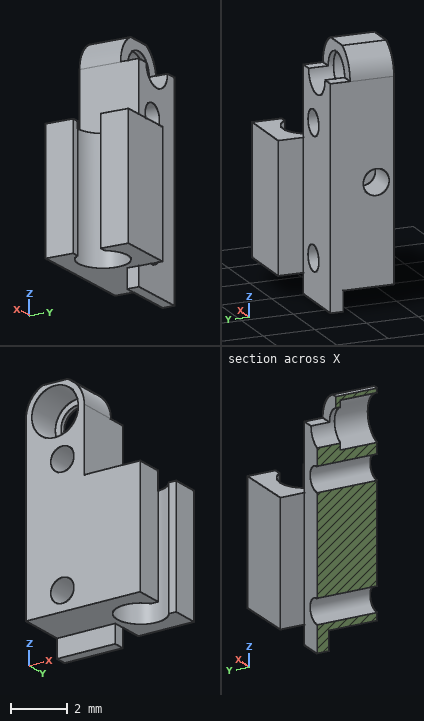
import cadquery as cq

column_width = 2.52
column_depth = 2.46
total_height = 9.73
base_z = 0.79

eye_x = column_width / 2
eye_z = 8.59
eye_radius = column_width / 2
eye_depth = 1.7
eye_bore_diameter = 1.52
counterbore_diameter = 2.0
shoulder_thickness = 0.2
counterbore_depth = eye_depth - shoulder_thickness

total_width = 4.93
block_depth = 3.43
block_top_z = 5.86
clamp_x = 3.79
clamp_y = block_depth / 2
clamp_diameter = 2.0
clamp_slot_width = 1.14

tab_thickness = 0.5

small_hole_diameter = 1.0
screw_hole_x = 1.58
screw_hole_heights = (1.62, 6.68)
side_hole_y = 0.69
side_hole_z = 4.7
side_hole_depth = column_width / 2


def box(x_range, y_range, z_range):
    """Box spanning the given (start, end) range along each axis."""
    (x0, x1), (y0, y1), (z0, z1) = x_range, y_range, z_range
    return cq.Workplane("XY").box(x1 - x0, y1 - y0, z1 - z0, centered=False).translate((x0, y0, z0))


def cylinder_along_y(x, z, diameter, depth):
    """Cylinder starting on the front face (Y = 0) and running toward +Y."""
    return cq.Workplane("XZ").center(x, z).circle(diameter / 2).extrude(-depth)


column = box((0, column_width), (0, column_depth), (base_z, eye_z))
eye = cylinder_along_y(eye_x, eye_z, 2 * eye_radius, eye_depth).intersect(
    box((0, column_width), (0, eye_depth), (block_top_z, total_height))
)
block = box((column_width, total_width), (0, block_depth), (base_z, block_top_z))
tab = box((0, column_width), (column_depth - tab_thickness, column_depth), (0, base_z))
result = column.union(eye).union(block).union(tab)

result = result.cut(cylinder_along_y(eye_x, eye_z, eye_bore_diameter, column_depth))
result = result.cut(cylinder_along_y(eye_x, eye_z, counterbore_diameter, counterbore_depth))

for height in screw_hole_heights:
    result = result.cut(cylinder_along_y(screw_hole_x, height, small_hole_diameter, column_depth))

side_hole = (
    cq.Workplane("YZ")
    .center(side_hole_y, side_hole_z)
    .circle(small_hole_diameter / 2)
    .extrude(side_hole_depth)
)
result = result.cut(side_hole)

clamp_bore = (
    cq.Workplane("XY", origin=(clamp_x, clamp_y, base_z))
    .circle(clamp_diameter / 2)
    .extrude(block_top_z - base_z)
)
slot_y = (clamp_y - clamp_slot_width / 2, clamp_y + clamp_slot_width / 2)
clamp_slot = box((clamp_x, total_width), slot_y, (base_z, block_top_z))
result = result.cut(clamp_bore).cut(clamp_slot)